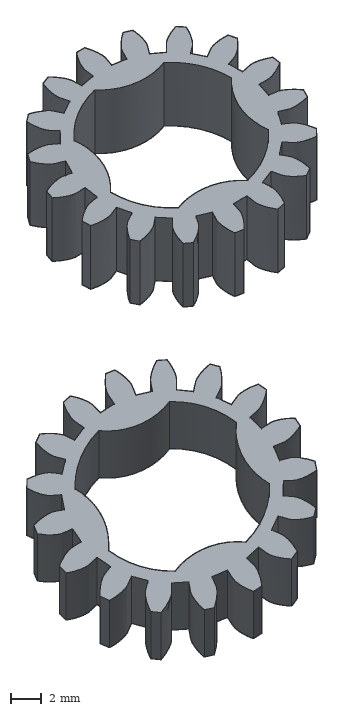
import cadquery as cq
import math

overall_size = 18.97
face_width = 6.25
tooth_count = 17
pressure_angle = math.radians(20)
addendum_factor = 1.0
dedendum_factor = 1.25

bore_radius = 6.35
lobe_count = 4
lobe_radius = 4.9
lobe_clearance = 5.1

flank_points = 8


def involute(angle):
    return math.tan(angle) - angle


tooth_pitch = 2 * math.pi / tooth_count
base_half_angle = tooth_pitch / 4 + involute(pressure_angle)
base_to_tip = tooth_count * math.cos(pressure_angle) / (tooth_count + 2 * addendum_factor)
tip_pressure_angle = math.acos(base_to_tip)
tip_half_angle = base_half_angle - involute(tip_pressure_angle)

tip_corner_offset = tooth_pitch / 4 - tip_half_angle
tip_radius = overall_size / 2 / math.cos(tip_corner_offset)
module = 2 * tip_radius / (tooth_count + 2 * addendum_factor)
pitch_radius = module * tooth_count / 2
base_radius = pitch_radius * math.cos(pressure_angle)
root_radius = pitch_radius - dedendum_factor * module


def polar(radius, angle):
    return (radius * math.cos(angle), radius * math.sin(angle))


def flank(tooth_angle, side):
    """Involute points from base circle to tip; side is -1 or +1 about the tooth centre."""
    points = []
    for i in range(flank_points):
        roll = math.tan(tip_pressure_angle) * i / (flank_points - 1)
        local_pressure_angle = math.atan(roll)
        radius = base_radius / math.cos(local_pressure_angle)
        half_angle = base_half_angle - involute(local_pressure_angle)
        points.append(polar(radius, tooth_angle + side * half_angle))
    return points


def gear_blank():
    """Toothed disc with flat roots, radial lower flanks, involute upper flanks and flat tips."""
    outline = cq.Workplane("XY").moveTo(*polar(root_radius, -base_half_angle))
    for i in range(tooth_count):
        tooth_angle = i * tooth_pitch
        rising = flank(tooth_angle, -1)
        falling = flank(tooth_angle, 1)[::-1]
        outline = outline.lineTo(*rising[0]).spline(rising[1:], includeCurrent=True)
        outline = outline.lineTo(*falling[0]).spline(falling[1:], includeCurrent=True)
        outline = outline.lineTo(*polar(root_radius, tooth_angle + base_half_angle))
        if i < tooth_count - 1:
            next_tooth_angle = tooth_angle + tooth_pitch
            outline = outline.lineTo(*polar(root_radius, next_tooth_angle - base_half_angle))
    return outline.close().extrude(face_width)


def lobed_bore():
    """Solid that is removed for the bore: a cylinder scooped by the lobes."""
    bore = cq.Workplane("XY").circle(bore_radius).extrude(face_width)
    lobe_distance = lobe_clearance + lobe_radius
    lobes = (
        cq.Workplane("XY")
        .polarArray(lobe_distance, 0, 360, lobe_count)
        .circle(lobe_radius)
        .extrude(face_width)
    )
    return bore.cut(lobes)


result = gear_blank().cut(lobed_bore())